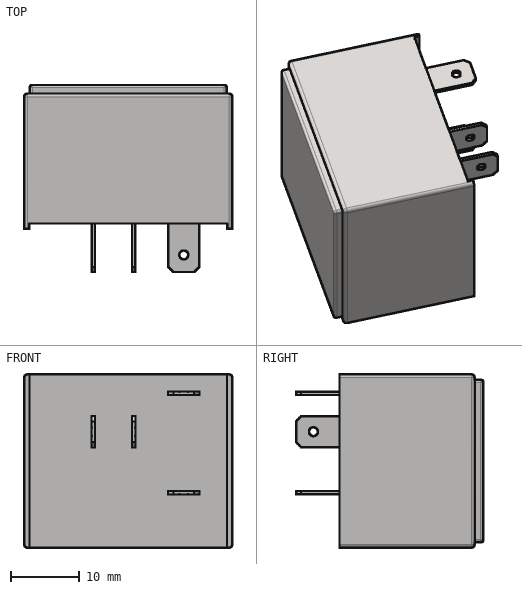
import cadquery as cq

housing_width = 30.48
housing_height = 25.4
overall_length = 27.432
terminal_reach = 6.35
housing_fillet = 0.508

cap_thickness = 1.27
cap_inset = 0.8
cap_fillet = 0.4

lip_width = 0.762
lip_depth = 0.762

blade_width = 4.572
blade_thickness = 0.508
blade_chamfer = 0.762
blade_hole_diameter = 1.27
blade_hole_from_tip = 2.54

flat_blade_x = 8.128
flat_blade_heights = (9.906, -4.64)
upright_blade_z = 4.29
upright_blade_positions = (-5.11, 0.8)

cap_face_y = overall_length / 2
tip_y = -overall_length / 2
shoulder_y = cap_face_y - cap_thickness
lip_y = tip_y + terminal_reach
pin_face_y = lip_y + lip_depth


def rounded_block(width, height, start_y, end_y, radius):
    """Block along Y, rounded on its four long edges and around its +Y face."""
    length = end_y - start_y
    block = cq.Workplane("XY").box(width, length, height)
    block = block.edges("|Y or >Y").fillet(radius)
    return block.translate((0, (start_y + end_y) / 2, 0))


def make_housing():
    """Main block with a full-height recess between the two side lips."""
    block = rounded_block(housing_width, housing_height, lip_y, shoulder_y, housing_fillet)
    recess = (
        cq.Workplane("XY")
        .box(housing_width - 2 * lip_width, lip_depth, housing_height)
        .translate((0, lip_y + lip_depth / 2, 0))
    )
    return block.cut(recess)


def make_cap():
    """Smaller rounded plate on the +Y end, sunk into the housing by its own thickness."""
    return rounded_block(
        housing_width - 2 * cap_inset,
        housing_height - 2 * cap_inset,
        shoulder_y - cap_thickness,
        cap_face_y,
        cap_fillet,
    )


def make_blade():
    """Blade lying flat in the XY plane, with clipped tip corners and a cross hole."""
    length = pin_face_y - tip_y
    return (
        cq.Workplane("XY")
        .box(blade_width, length, blade_thickness)
        .edges("|Z and <Y")
        .chamfer(blade_chamfer)
        .faces(">Z")
        .workplane(origin=(0, -length / 2 + blade_hole_from_tip, 0))
        .hole(blade_hole_diameter)
        .translate((0, (pin_face_y + tip_y) / 2, 0))
    )


result = make_housing().union(make_cap())

flat_blade = make_blade()
for blade_z in flat_blade_heights:
    result = result.union(flat_blade.translate((flat_blade_x, 0, blade_z)))

upright_blade = flat_blade.rotate((0, 0, 0), (0, 1, 0), 90)
for blade_x in upright_blade_positions:
    result = result.union(upright_blade.translate((blade_x, 0, upright_blade_z)))